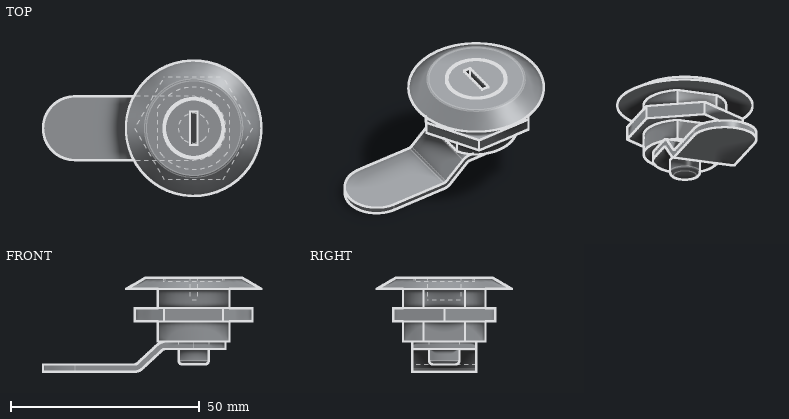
import cadquery as cq
import math


flange_diameter = 36.0
flange_top_diameter = 25.65
flange_height = 3.0
flange_edge_radius = 1.0
barrel_diameter = 22.0
barrel_flat_width = 19.1
barrel_bottom = -17.0

nut_across_flats = 27.1
nut_top = -8.05
nut_height = 3.55
nut_corner_diameter = nut_across_flats / math.cos(math.pi / 6)

plug_groove_outer_diameter = 16.05
plug_groove_inner_diameter = 15.25
plug_groove_depth = 1.0
key_slot_width = 2.0
key_slot_length = 9.0
key_slot_depth = 6.0

cam_thickness = 2.0
cam_width = 17.0
cam_reach = 58 - flange_diameter / 2
cam_bottom = -25.0
cam_upper_bend_x = -8.4
cam_slope_run = 6.5
bend_inner_radius = 1.0
strip_overrun = 0.6
bend_outer_radius = bend_inner_radius + cam_thickness

shaft_diameter = 8.0
shaft_bottom = -23.0
shaft_edge_radius = 1.0


def cylinder(diameter, bottom, top):
    return cq.Workplane("XY").workplane(offset=bottom).circle(diameter / 2).extrude(top - bottom)


def make_flange():
    flange = (
        cq.Workplane("XZ")
        .polyline([
            (0, 0),
            (flange_top_diameter / 2, 0),
            (flange_diameter / 2, -flange_height),
            (0, -flange_height),
        ])
        .close()
        .revolve(360, (0, 0, 0), (0, 1, 0))
    )
    return flange.faces(">Z").edges().fillet(flange_edge_radius)


def make_barrel():
    barrel_length = -flange_height - barrel_bottom
    flats = (
        cq.Workplane("XY")
        .workplane(offset=barrel_bottom)
        .rect(barrel_flat_width, barrel_diameter)
        .extrude(barrel_length)
    )
    return cylinder(barrel_diameter, barrel_bottom, -flange_height).intersect(flats)


def make_nut():
    return (
        cq.Workplane("XY")
        .workplane(offset=nut_top - nut_height)
        .polygon(6, nut_corner_diameter)
        .extrude(nut_height)
    )


def make_shaft():
    shaft = cylinder(shaft_diameter, shaft_bottom, barrel_bottom)
    return shaft.faces("<Z").edges().fillet(shaft_edge_radius)


def make_plug_cuts():
    groove = (
        cq.Workplane("XY")
        .circle(plug_groove_outer_diameter / 2)
        .circle(plug_groove_inner_diameter / 2)
        .extrude(-plug_groove_depth)
    )
    key_slot = cq.Workplane("XY").rect(key_slot_width, key_slot_length).extrude(-key_slot_depth)
    return groove.union(key_slot)


def make_lock():
    """Flange, barrel, nut and shaft as one body."""
    return make_flange().union(make_barrel()).union(make_nut()).union(make_shaft()).cut(make_plug_cuts())


def make_cam():
    """Bent strip with round ends and a hole for the shaft."""
    lower_top = cam_bottom + cam_thickness
    upper_bottom = barrel_bottom - cam_thickness
    slope_angle = math.atan2(barrel_bottom - lower_top, cam_slope_run)
    mitre_shift = cam_thickness / 2 * math.tan(slope_angle / 2)
    lower_bend_x = cam_upper_bend_x - cam_slope_run
    end_x = cam_width / 2
    strip_start_x = -cam_reach - strip_overrun
    strip_end_x = end_x + strip_overrun

    strip = (
        cq.Workplane("XZ")
        .polyline([
            (strip_start_x, cam_bottom),
            (lower_bend_x + mitre_shift, cam_bottom),
            (cam_upper_bend_x + mitre_shift, upper_bottom),
            (strip_end_x, upper_bottom),
            (strip_end_x, barrel_bottom),
            (cam_upper_bend_x - mitre_shift, barrel_bottom),
            (lower_bend_x - mitre_shift, lower_top),
            (strip_start_x, lower_top),
        ])
        .close()
        .extrude(cam_width / 2, both=True)
    )

    def bend_edge(x, z):
        return cq.selectors.NearestToPointSelector((x, 0, z))

    strip = strip.edges(bend_edge(cam_upper_bend_x - mitre_shift, barrel_bottom)).fillet(bend_outer_radius)
    strip = strip.edges(bend_edge(cam_upper_bend_x + mitre_shift, upper_bottom)).fillet(bend_inner_radius)
    strip = strip.edges(bend_edge(lower_bend_x + mitre_shift, cam_bottom)).fillet(bend_outer_radius)
    strip = strip.edges(bend_edge(lower_bend_x - mitre_shift, lower_top)).fillet(bend_inner_radius)

    outline = (
        cq.Workplane("XY")
        .workplane(offset=cam_bottom)
        .center((end_x - cam_reach) / 2, 0)
        .slot2D(cam_reach + end_x, cam_width)
        .extrude(barrel_bottom - cam_bottom)
    )
    shaft_hole = cylinder(shaft_diameter, cam_bottom, barrel_bottom)
    return strip.intersect(outline).cut(shaft_hole)


lock = make_lock()
cam = make_cam()

result = cq.Compound.makeCompound([lock.solids().val(), cam.solids().val()])